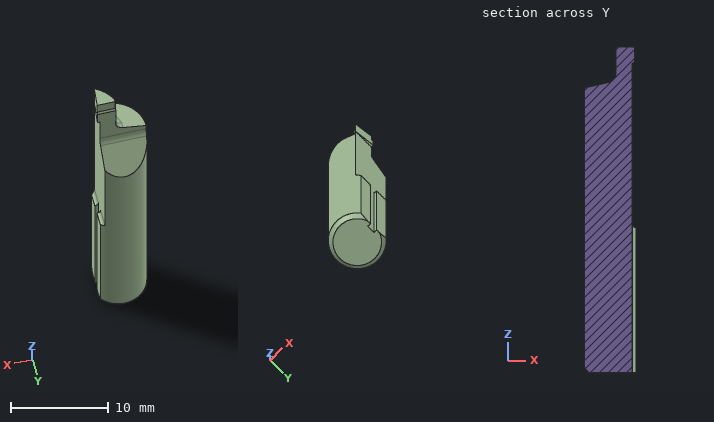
import cadquery as cq
import math

length = 35.0
diameter = 6.0
radius = diameter / 2
bottom_chamfer = 0.5
margin = 3.5

lower_flat_x = 2.35
upper_flat_x = 1.95
upper_flat_z = 15.35
flat_step_radius = lower_flat_x - upper_flat_x
groove_width = 0.9

rake_y = 0.1
rake_radius = 1.33
rake_angle = 48.0
rake_foot_z = 25.05

shoulder_low_z = 29.35
shoulder_angle = 13.0
neck_fillet = 0.98
edge_gap = 0.05

neck_left_x = 0.25
neck_side_y = -0.3
neck_mid = (0.9, -1.45)
neck_corner = (upper_flat_x, -2.28)
tip_x = 2.2
tip_height = 3.15
tip_bevel = 0.18
tip_face_y = -0.07
tip_face_height = 1.3
tip_face_run = 0.2
top_relief_angle = 5.7


def rise(run, angle):
    return run * math.tan(math.radians(angle))


def box(x_min, x_max, y_min, y_max, z_min, z_max):
    return cq.Workplane("XY").box(
        x_max - x_min, y_max - y_min, z_max - z_min, centered=False
    ).translate((x_min, y_min, z_min))


def make_shank():
    shank = cq.Workplane("XY").circle(radius).extrude(length).faces("<Z").chamfer(bottom_chamfer)
    shank = shank.cut(box(lower_flat_x, margin, -margin, margin, 0, length))
    return shank.cut(box(upper_flat_x, margin, -groove_width / 2, groove_width / 2, 0, length))


def upper_flat_cutter():
    return (
        cq.Workplane("XZ")
        .moveTo(upper_flat_x, length)
        .lineTo(upper_flat_x, upper_flat_z)
        .radiusArc((lower_flat_x, upper_flat_z - flat_step_radius), -flat_step_radius)
        .lineTo(margin, upper_flat_z - flat_step_radius)
        .lineTo(margin, length)
        .close()
        .extrude(margin, both=True)
    )


def shoulder_cutter():
    low_z = shoulder_low_z - rise(margin - radius, shoulder_angle)
    high_z = low_z + rise(2 * margin, shoulder_angle)
    return (
        cq.Workplane("XZ")
        .polyline([(-margin, low_z), (margin, high_z), (margin, length), (-margin, length)])
        .close()
        .extrude(margin, both=True)
    )


def make_neck():
    return (
        cq.Workplane("XY")
        .workplane(offset=shoulder_low_z - margin)
        .moveTo(neck_left_x, margin)
        .lineTo(neck_left_x, neck_side_y)
        .threePointArc(neck_mid, neck_corner)
        .lineTo(upper_flat_x, margin)
        .close()
        .extrude(length - shoulder_low_z + margin)
    )


def make_tip_lip():
    bottom_z = length - tip_height
    lip = (
        cq.Workplane("XY")
        .workplane(offset=bottom_z)
        .polyline([
            neck_corner,
            (tip_x, rake_y),
            (upper_flat_x, rake_y),
        ])
        .close()
        .extrude(tip_height)
    )
    bevel = (
        cq.Workplane("XZ")
        .polyline([(upper_flat_x, bottom_z), (tip_x, bottom_z), (tip_x, bottom_z + tip_bevel)])
        .close()
        .extrude(margin, both=True)
    )
    return lip.cut(bevel)


def rake_cutter():
    foot_y = radius + margin
    foot_z = rake_foot_z - rise(margin, rake_angle)
    turn = math.radians(90 - rake_angle)
    bend_y = rake_y + rake_radius * (1 - math.cos(turn))
    bend_z = rake_foot_z + rise(radius - bend_y, rake_angle)
    tangent_z = bend_z + rake_radius * math.sin(turn)
    return (
        cq.Workplane("YZ")
        .moveTo(rake_y, length)
        .lineTo(rake_y, tangent_z)
        .radiusArc((bend_y, bend_z), -rake_radius)
        .lineTo(foot_y, foot_z)
        .lineTo(foot_y, length)
        .close()
        .extrude(margin, both=True)
    )


def tip_face_cutter():
    step_z = length - tip_face_height
    profile = [(rake_y, step_z - tip_face_run), (tip_face_y, step_z), (tip_face_y, length), (rake_y, length)]
    return cq.Workplane("YZ").polyline(profile).close().extrude(margin, both=True)


def top_relief_cutter():
    back_z = length - rise(margin + tip_face_y, top_relief_angle)
    profile = [(tip_face_y, length), (-margin, back_z), (-margin, length)]
    return cq.Workplane("YZ").polyline(profile).close().extrude(margin, both=True)


shank = make_shank().cut(upper_flat_cutter())
neck = make_neck().intersect(shank)
body = shank.cut(shoulder_cutter()).union(neck)

root_zone = cq.selectors.BoxSelector(
    (neck_left_x - neck_fillet, -margin, shoulder_low_z),
    (upper_flat_x - edge_gap, margin, shoulder_low_z + rise(2 * radius, shoulder_angle)),
)
blend_edges = body.edges(root_zone).edges("not |Z")
body = blend_edges.fillet(neck_fillet)

result = body.union(make_tip_lip())
for cutter in (rake_cutter(), tip_face_cutter(), top_relief_cutter()):
    result = result.cut(cutter)